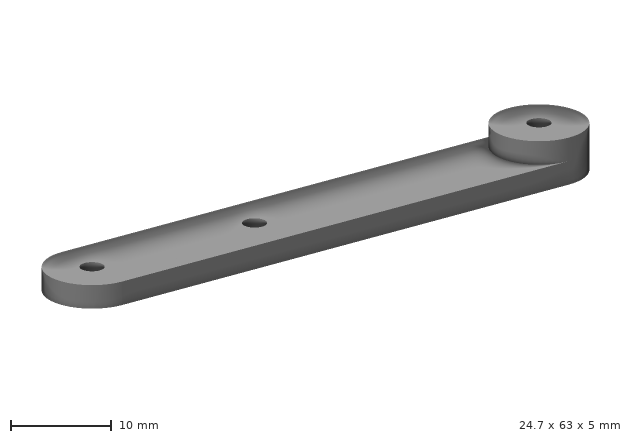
import cadquery as cq

arm_width = 10.0
arm_thickness = 2.5
pivot_spacing = 55.0
middle_hole_distance = 20.0
boss_diameter = arm_width
boss_height = 2.5
hole_diameter = 2.5
tilt_angle = 15.52

total_height = arm_thickness + boss_height

hole_positions = [(0, 0), (0, middle_hole_distance), (0, pivot_spacing)]


def make_arm():
    """Flat bar with fully rounded ends."""
    return (
        cq.Workplane("XY")
        .center(0, pivot_spacing / 2)
        .slot2D(pivot_spacing + arm_width, arm_width, angle=90)
        .extrude(arm_thickness)
    )


def make_boss():
    """Round pad standing on the far end of the arm."""
    return (
        cq.Workplane("XY", origin=(0, pivot_spacing, 0))
        .circle(boss_diameter / 2)
        .extrude(total_height)
    )


def make_holes():
    """Through holes along the arm's centreline."""
    return (
        cq.Workplane("XY")
        .pushPoints(hole_positions)
        .circle(hole_diameter / 2)
        .extrude(total_height)
    )


straight_part = make_arm().union(make_boss()).cut(make_holes())
result = straight_part.rotate((0, 0, 0), (0, 0, 1), tilt_angle)